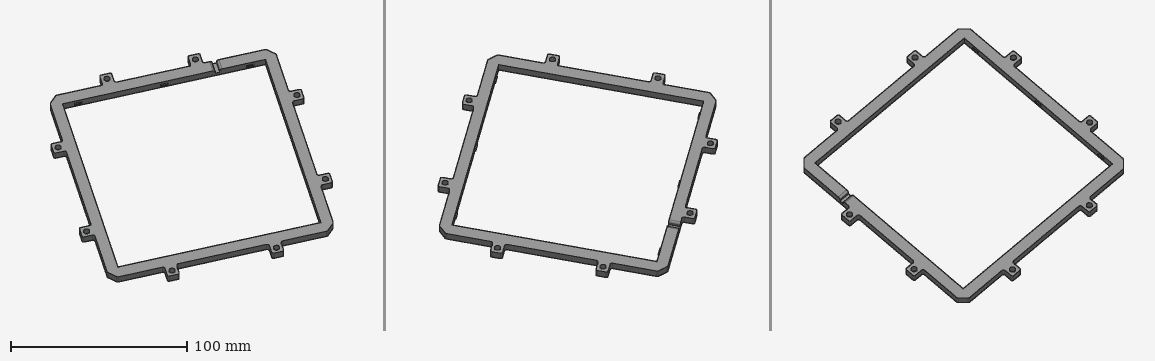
import cadquery as cq

overall_size = 147.2
thickness = 5.0
lug_reach = 7.1
bar_width = 6.85
frame_size = overall_size - 2 * lug_reach
opening_size = frame_size - 2 * bar_width
corner_chamfer = 4.75
corner_blend_radius = 1.5

lug_width = 7.0
lug_tip_radius = 1.0
lug_root_radius = 1.25
lug_hole_diameter = 3.4
lug_hole_setback = 3.4
lug_offset = 30.7
shifted_lug_offset = 21.25

nub_length = 4.4
nub_protrusion = 0.8
nub_height = 1.0
nub_pitch = 50.6

notch_y = 31.4
notch_width = 2.6
notch_depth = 2.6
notch_lip_radius = 1.4


def make_frame():
    """Square ring with blended chamfers on its outer corners."""
    outer = cq.Workplane("XY").rect(frame_size, frame_size).extrude(thickness)
    outer = outer.edges("|Z").chamfer(corner_chamfer)
    outer = outer.edges("|Z").fillet(corner_blend_radius)
    opening = cq.Workplane("XY").rect(opening_size, opening_size).extrude(thickness)
    return outer.cut(opening)


def make_lug(angle, offset):
    """Drilled lug on the +X side at Y = offset, turned about the Z axis by angle."""
    anchor = (frame_size - bar_width) / 2
    root = frame_size / 2
    root_arc_end = root + lug_root_radius
    tip = overall_size / 2
    tip_arc_start = tip - lug_tip_radius
    half = lug_width / 2
    flare = half + lug_root_radius
    tip_half = half - lug_tip_radius
    lug = (
        cq.Workplane("XY")
        .moveTo(anchor, -flare)
        .lineTo(root, -flare)
        .radiusArc((root_arc_end, -half), lug_root_radius)
        .lineTo(tip_arc_start, -half)
        .radiusArc((tip, -tip_half), -lug_tip_radius)
        .lineTo(tip, tip_half)
        .radiusArc((tip_arc_start, half), -lug_tip_radius)
        .lineTo(root_arc_end, half)
        .radiusArc((root, flare), lug_root_radius)
        .lineTo(anchor, flare)
        .close()
        .extrude(thickness)
    )
    hole = (
        cq.Workplane("XY")
        .center(tip - lug_hole_setback, 0)
        .circle(lug_hole_diameter / 2)
        .extrude(thickness)
    )
    lug = lug.cut(hole)
    return lug.translate((0, offset, 0)).rotate((0, 0, 0), (0, 0, 1), angle)


def make_nub(side, y):
    """Block centred on the inner face of the left (-1) or right (+1) bar, half of it proud."""
    nub = cq.Workplane("XY").box(2 * nub_protrusion, nub_length, nub_height)
    return nub.translate((side * opening_size / 2, y, thickness / 2))


def make_notch():
    """Flat-bottomed cutter along X whose mouth flares to round the notch's upper edges."""
    half = notch_width / 2
    mouth = half + notch_lip_radius
    lip_bottom = thickness - notch_lip_radius
    floor = thickness - notch_depth
    return (
        cq.Workplane("YZ", origin=(-frame_size / 2, notch_y, 0))
        .moveTo(-mouth, thickness)
        .radiusArc((-half, lip_bottom), notch_lip_radius)
        .lineTo(-half, floor)
        .lineTo(half, floor)
        .lineTo(half, lip_bottom)
        .radiusArc((mouth, thickness), notch_lip_radius)
        .close()
        .extrude(bar_width)
    )


result = make_frame()

for angle in (0, 90, 270):
    for offset in (-lug_offset, lug_offset):
        result = result.union(make_lug(angle, offset))

for left_lug_y in (-lug_offset, shifted_lug_offset):
    result = result.union(make_lug(180, -left_lug_y))

for side in (-1, 1):
    for row in (-1, 0, 1):
        result = result.union(make_nub(side, row * nub_pitch))

result = result.cut(make_notch())